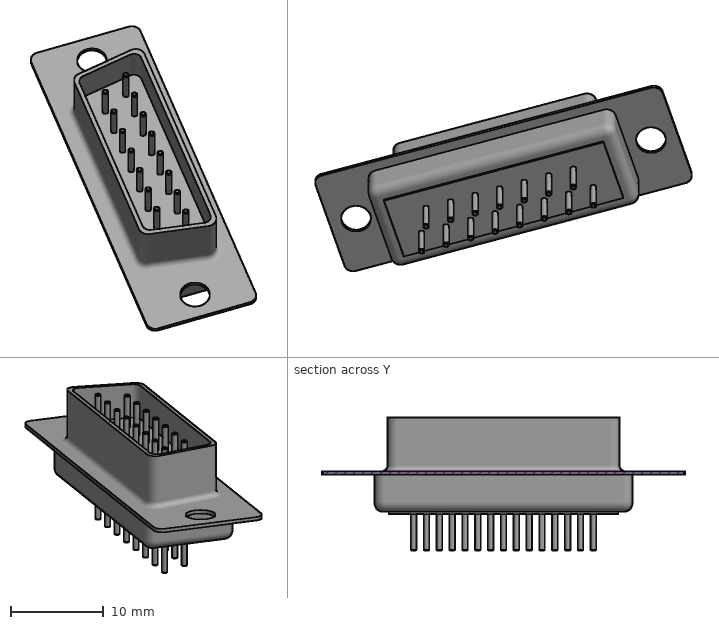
import cadquery as cq
import math

FLANGE_LENGTH = 39.2
FLANGE_WIDTH = 12.5
FLANGE_THICKNESS = 0.4
FLANGE_CORNER_RADIUS = 1.0
MOUNT_HOLE_DIAMETER = 3.2
MOUNT_HOLE_SPACING = 33.3

SHELL_LENGTH = 25.07
SHELL_WIDTH = 8.4
SHELL_HEIGHT = 5.8
SHELL_WALL = 0.5
SHELL_CORNER_RADIUS = 1.0
SHELL_SIDE_ANGLE = 10.0
SHELL_FOOT_RADIUS = 0.6
CAVITY_CORNER_RADIUS = 0.85
CAVITY_DEPTH = 3.8

HOUSING_LENGTH = 27.88
HOUSING_WIDTH = 10.3
HOUSING_DEPTH = 4.0
HOUSING_CORNER_RADIUS = 1.05
HOUSING_EDGE_RADIUS = 1.0
INSULATOR_LENGTH = 24.8
INSULATOR_WIDTH = 7.3
INSULATOR_DEPTH = 0.25

OVERALL_HEIGHT = 14.4

PIN_DIAMETER = 0.64
PIN_TIP_CHAMFER = 0.12
PIN_PITCH = 2.77
ROW_SPACING = 2.84
BACK_ROW_COUNT = 8
FRONT_ROW_COUNT = 7
PIN_HEIGHT_ABOVE_FLOOR = 3.65

SELECT_MARGIN = 0.01

HOUSING_BOTTOM = -FLANGE_THICKNESS - HOUSING_DEPTH
CAVITY_FLOOR = SHELL_HEIGHT - CAVITY_DEPTH
PIN_TOP = CAVITY_FLOOR + PIN_HEIGHT_ABOVE_FLOOR
PIN_BOTTOM = SHELL_HEIGHT - OVERALL_HEIGHT


def d_prism(inset, corner_radius, z_bottom, z_top):
    """Rounded D-shaped prism whose walls lie `inset` inside the shell's outer walls."""
    angle = math.radians(SHELL_SIDE_ANGLE)
    arc_center_x = SHELL_LENGTH / 2 - SHELL_CORNER_RADIUS
    concentric_radius = SHELL_CORNER_RADIUS - inset
    x_wide = arc_center_x + concentric_radius * (1 / math.cos(angle) + math.tan(angle))
    half_width = SHELL_WIDTH / 2 - inset
    x_narrow = x_wide - 2 * half_width * math.tan(angle)
    corners = [
        (-x_wide, half_width),
        (x_wide, half_width),
        (x_narrow, -half_width),
        (-x_narrow, -half_width),
    ]
    prism = cq.Workplane("XY").workplane(offset=z_bottom).polyline(corners).close()
    return prism.extrude(z_top - z_bottom).edges("|Z").fillet(corner_radius)


def make_flange():
    plate = cq.Workplane("XY").box(
        FLANGE_LENGTH, FLANGE_WIDTH, FLANGE_THICKNESS, centered=(True, True, False)
    )
    return plate.translate((0, 0, -FLANGE_THICKNESS)).edges("|Z").fillet(FLANGE_CORNER_RADIUS)


def add_shell(flange):
    """Join the solid shell to the flange with a rounded foot; the cavity is cut later."""
    body = flange.union(d_prism(0, SHELL_CORNER_RADIUS, -FLANGE_THICKNESS, SHELL_HEIGHT))
    reach_x = SHELL_LENGTH / 2 + SELECT_MARGIN
    reach_y = SHELL_WIDTH / 2 + SELECT_MARGIN
    foot_region = cq.selectors.BoxSelector(
        (-reach_x, -reach_y, -SELECT_MARGIN),
        (reach_x, reach_y, SELECT_MARGIN),
    )
    return body.edges(foot_region).fillet(SHELL_FOOT_RADIUS)


def drill_mount_holes(body):
    hole_centers = [(-MOUNT_HOLE_SPACING / 2, 0), (MOUNT_HOLE_SPACING / 2, 0)]
    drills = cq.Workplane("XY").pushPoints(hole_centers).circle(MOUNT_HOLE_DIAMETER / 2)
    return body.cut(drills.extrude(-FLANGE_THICKNESS))


def make_housing():
    housing = cq.Workplane("XY").box(
        HOUSING_LENGTH, HOUSING_WIDTH, HOUSING_DEPTH, centered=(True, True, False)
    )
    housing = housing.edges("|Z").fillet(HOUSING_CORNER_RADIUS)
    housing = housing.faces("<Z").edges().fillet(HOUSING_EDGE_RADIUS)
    return housing.translate((0, 0, HOUSING_BOTTOM))


def make_insulator():
    """Thin insulator face standing proud of the housing bottom."""
    plate = cq.Workplane("XY").box(
        INSULATOR_LENGTH, INSULATOR_WIDTH, INSULATOR_DEPTH, centered=(True, True, False)
    )
    return plate.translate((0, 0, HOUSING_BOTTOM - INSULATOR_DEPTH))


def make_pin_row(count, y):
    centers = [((i - (count - 1) / 2) * PIN_PITCH, y) for i in range(count)]
    pins = cq.Workplane("XY").workplane(offset=PIN_BOTTOM).pushPoints(centers).circle(PIN_DIAMETER / 2)
    pins = pins.extrude(PIN_TOP - PIN_BOTTOM)
    return pins.faces("<Z or >Z").edges().chamfer(PIN_TIP_CHAMFER)


result = drill_mount_holes(add_shell(make_flange()))
result = result.union(make_housing()).union(make_insulator())
result = result.cut(d_prism(SHELL_WALL, CAVITY_CORNER_RADIUS, CAVITY_FLOOR, SHELL_HEIGHT))
result = result.union(make_pin_row(BACK_ROW_COUNT, ROW_SPACING / 2))
result = result.union(make_pin_row(FRONT_ROW_COUNT, -ROW_SPACING / 2))